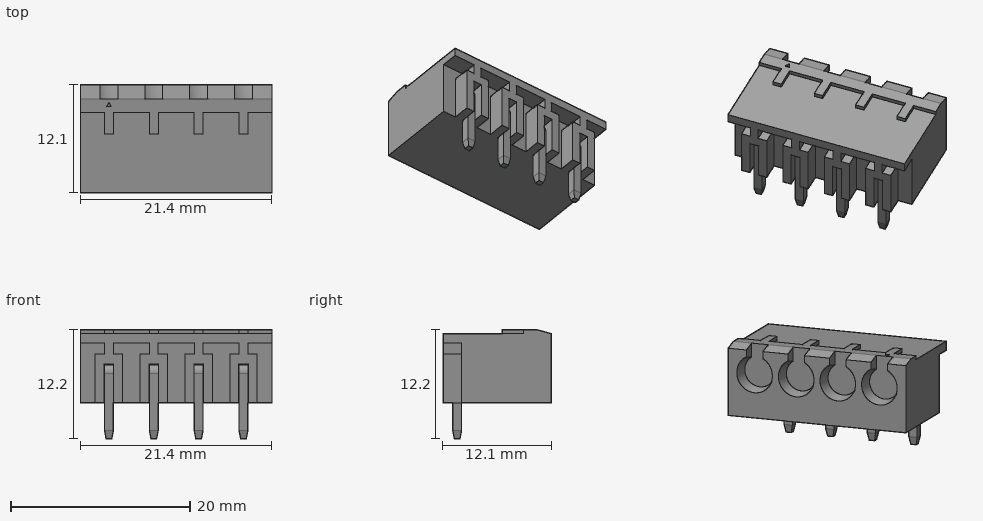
import cadquery as cq


length = 21.4
depth = 12.1
base_height = 7.75
ridge_height = 8.17
ramp_depth = 1.58
rail_end = 3.08
rib_end = 5.5

pole_count = 4
pitch = 5.0
pole_xs = [length / 2 + (i - (pole_count - 1) / 2) * pitch for i in range(pole_count)]

bay_depth = 2.08
bay_height = 6.7
support_width = 3.05
support_height = 5.45
neck_width = 0.96
pin_slot_width = 1.07
pin_slot_height = 4.35

pin_size = 1.0
bend_radius = 0.98
pin_top = 4.25
pin_bottom = -4.02
tip_length = 0.92
tip_size = 0.65

notch_width = 2.0
socket_radius = 2.15
socket_axis_height = 5.05
socket_draft = 0.32

marker_width = 0.51
marker_length = 0.47
marker_tip = 2.0
marker_sink = 0.1


def box(x_center, width, y_start, y_end, z_start, z_end):
    """Block centred on x_center and spanning the given Y and Z ranges."""
    return (
        cq.Workplane("XY")
        .box(width, y_end - y_start, z_end - z_start, centered=(True, False, False))
        .translate((x_center, y_start, z_start))
    )


def housing():
    """Main block with the rail and its lead-in slope, extruded along the row."""
    profile = [
        (0, 0),
        (depth, 0),
        (depth, base_height),
        (depth - ramp_depth, ridge_height),
        (depth - rail_end, ridge_height),
        (depth - rail_end, base_height),
        (0, base_height),
    ]
    body = cq.Workplane("YZ").polyline(profile).close().extrude(length)
    return body.cut(box(length / 2, length, 0, bay_depth, 0, bay_height))


def pin_support(x):
    """Slotted block that straddles a pin, hung from the roof of the bay by a neck."""
    block = box(x, support_width, 0, bay_depth, 0, support_height)
    neck = box(x, neck_width, 0, bay_depth, support_height, bay_height)
    slot = box(x, pin_slot_width, 0, bay_depth, 0, pin_slot_height)
    return block.union(neck).cut(slot)


def top_rib(x):
    """Short rib that runs forward from the rail."""
    return box(x, pin_size, depth - rib_end, depth - rail_end, base_height, ridge_height)


def solder_pin(x):
    """Square pin with a rounded bend at the top and a tapered tip."""
    tip_top = pin_bottom + tip_length
    pin_back = bay_depth
    pin_front = pin_back - pin_size
    shank = box(x, pin_size, pin_front, pin_back, tip_top, pin_top)
    shank = shank.edges("|X and >Z and <Y").fillet(bend_radius)
    tip = (
        cq.Workplane("XY", origin=(x, (pin_front + pin_back) / 2, pin_bottom))
        .rect(tip_size, tip_size)
        .workplane(offset=tip_length)
        .rect(pin_size, pin_size)
        .loft(ruled=True)
    )
    return shank.union(tip)


def plug_opening(x):
    """Tapered round socket in the plug face, open to the top through a narrower notch."""
    socket_end = depth - ramp_depth
    notch = box(x, notch_width, socket_end, depth, socket_axis_height, ridge_height)
    socket = cq.Workplane(
        cq.Solid.makeCone(
            socket_radius,
            socket_radius - socket_draft,
            ramp_depth,
            pnt=cq.Vector(x, depth, socket_axis_height),
            dir=cq.Vector(0, -1, 0),
        )
    )
    return notch.union(socket)


def marker(x):
    """Shallow triangular recess that points to the plug side."""
    tip_y = depth - marker_tip
    base_y = tip_y - marker_length
    return (
        cq.Workplane("XY", origin=(x, 0, ridge_height))
        .polyline([(-marker_width / 2, base_y), (marker_width / 2, base_y), (0, tip_y)])
        .close()
        .extrude(-marker_sink)
    )


result = housing()
for pole_x in pole_xs:
    result = result.union(pin_support(pole_x)).union(top_rib(pole_x)).union(solder_pin(pole_x))
    result = result.cut(plug_opening(pole_x))
result = result.cut(marker(pole_xs[0]))